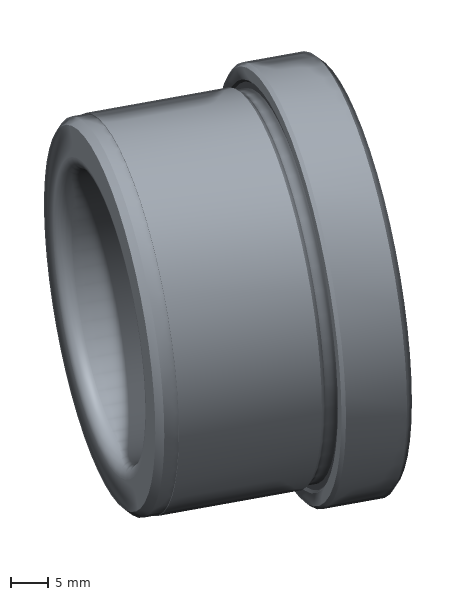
import cadquery as cq

flange_radius = 30.5
body_radius = 27.5
lead_radius = 27.4
groove_radius = 27.0
bore_radius = 20.0
recess_radius = 28.25

total_length = 35.0
flange_length = 10.0
groove_width = 2.0
groove_chamfer_length = 0.6
lead_length = 3.0
recess_depth = 0.35

end_chamfer = 1.0
flange_front_chamfer = 0.5
bore_round = 2.0

flange_front = total_length - flange_length
body_end = flange_front - groove_width
recess_floor = flange_front + recess_depth

profile = (
    cq.Workplane("XY")
    .moveTo(bore_radius, bore_round)
    .radiusArc((bore_radius + bore_round, 0), -bore_round)
    .lineTo(lead_radius - end_chamfer, 0)
    .lineTo(lead_radius, end_chamfer)
    .lineTo(lead_radius, lead_length)
    .lineTo(body_radius, lead_length)
    .lineTo(body_radius, body_end)
    .lineTo(groove_radius, body_end + groove_chamfer_length)
    .lineTo(groove_radius, recess_floor)
    .lineTo(recess_radius - recess_depth, recess_floor)
    .lineTo(recess_radius, flange_front)
    .lineTo(flange_radius - flange_front_chamfer, flange_front)
    .lineTo(flange_radius, flange_front + flange_front_chamfer)
    .lineTo(flange_radius, total_length - end_chamfer)
    .lineTo(flange_radius - end_chamfer, total_length)
    .lineTo(bore_radius, total_length)
    .close()
)
axis_start = (0, 0, 0)
axis_end = (0, 1, 0)
result = profile.revolve(360, axis_start, axis_end)